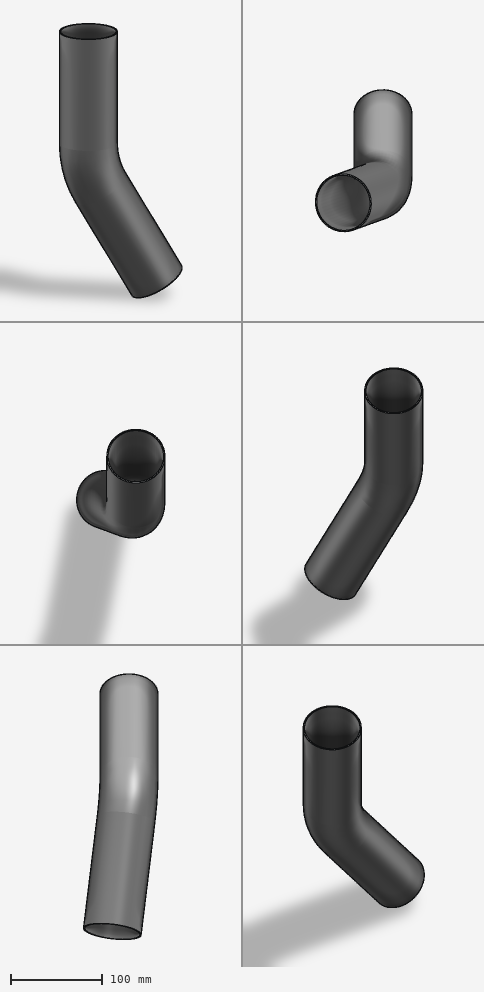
import cadquery as cq
import math

outer_diameter = 63.5
inner_diameter = 60.5
overall_height = 303.7
bend_radius = 103.2
bend_angle = 30.0
lean = math.radians(bend_angle)

bend_height = (bend_radius + outer_diameter / 2) * math.sin(lean)
leg_length = (overall_height - bend_height) / (1 + math.cos(lean))


def bend_point(angle):
    """Centreline (Y, Z) after turning by angle degrees; the bend starts at the origin."""
    turn = math.radians(angle)
    return (bend_radius * (1 - math.cos(turn)), -bend_radius * math.sin(turn))


bend_middle = bend_point(bend_angle / 2)
bend_end = bend_point(bend_angle)
leg_end = (
    bend_end[0] + leg_length * math.sin(lean),
    bend_end[1] - leg_length * math.cos(lean),
)
centreline = (
    cq.Workplane("YZ")
    .moveTo(0, leg_length)
    .lineTo(0, 0)
    .threePointArc(bend_middle, bend_end)
    .lineTo(*leg_end)
)

result = (
    cq.Workplane("XY")
    .workplane(offset=leg_length)
    .circle(outer_diameter / 2)
    .circle(inner_diameter / 2)
    .sweep(centreline)
)